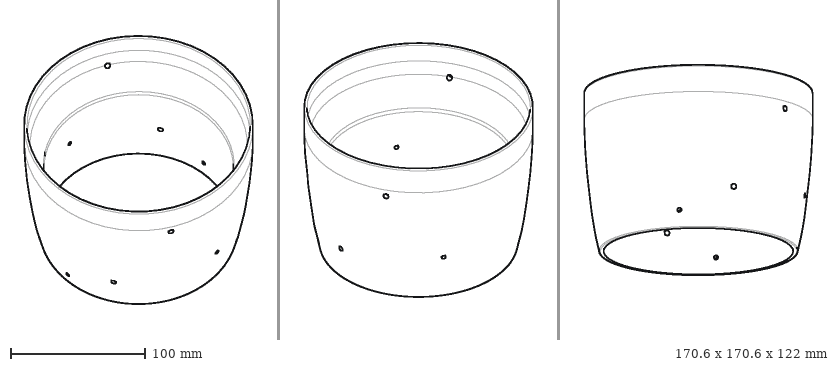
import cadquery as cq
import math

height = 122.0
top_radius = 85.3
band_bottom = 101.5
waist_radius, waist_height = 80.8, 39.9
flare_radius, flare_height = 77.4, 16.0
bottom_radius = 74.0
base_round = 0.9

rim_wall = 2.0
rim_round = rim_wall / 2
socket_radius = top_radius - rim_wall

funnel_top = 101.6
throat_height = 71.6
bore_radius = 70.6
funnel_bend = 27.3
throat_round = 7.7

small_hole = 3.0
large_hole = 4.0
cross_holes = [
    (-90, 12.8, small_hole),
    (180, 39.0, small_hole),
    (-60, 30.9, large_hole),
    (-30, 95.7, large_hole),
]


def outer_body():
    """Solid of revolution with the outer skin, rounded at the base."""
    curve = [
        (waist_radius, waist_height),
        (flare_radius, flare_height),
        (bottom_radius, 0),
    ]
    end_slope = (-(flare_radius - bottom_radius), -flare_height)
    body = (
        cq.Workplane("XZ")
        .lineTo(0, height)
        .lineTo(socket_radius + rim_round, height)
        .radiusArc((top_radius, height - rim_round), rim_round)
        .lineTo(top_radius, band_bottom)
        .spline(curve, tangents=[(0, -1), end_slope], includeCurrent=True)
        .close()
        .revolve(360, (0, 0, 0), (0, 1, 0))
    )
    return body.faces("<Z").edges().fillet(base_round)


def edges_near(level):
    """Selector for the circular edge lying at a given height."""
    reach = top_radius
    margin = 0.2
    low_corner = (-reach, -reach, level - margin)
    high_corner = (reach, reach, level + margin)
    return cq.selectors.TypeSelector("CIRCLE") & cq.selectors.BoxSelector(low_corner, high_corner)


def inner_space():
    """Socket, funnel and bore, including the rounded inner side of the rim."""
    space = (
        cq.Workplane("XZ")
        .lineTo(bore_radius, 0)
        .lineTo(bore_radius, throat_height)
        .lineTo(socket_radius, funnel_top)
        .lineTo(socket_radius, height - rim_round)
        .radiusArc((socket_radius + rim_round, height), rim_round)
        .lineTo(0, height)
        .close()
        .revolve(360, (0, 0, 0), (0, 1, 0))
    )
    space = space.edges(edges_near(funnel_top)).fillet(funnel_bend)
    return space.edges(edges_near(throat_height)).fillet(throat_round)


def cross_hole(angle, hole_height, diameter):
    """Horizontal drill through both walls of the shell."""
    direction = cq.Vector(math.cos(math.radians(angle)), math.sin(math.radians(angle)), 0)
    start = direction * -top_radius + cq.Vector(0, 0, hole_height)
    return cq.Solid.makeCylinder(diameter / 2, 2 * top_radius, start, direction)


result = outer_body().cut(inner_space())
for angle, hole_height, diameter in cross_holes:
    result = result.cut(cross_hole(angle, hole_height, diameter))